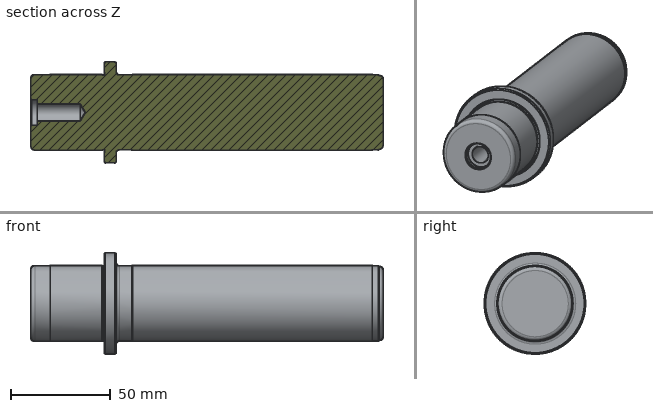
import cadquery as cq
import math

total_length = 177
shaft_radius = 19.1
nose_fillet = 2.0
nose_length = 9.7
nose_relief = 0.09

collar_radius = 25.5
collar_start = 36.8
collar_width = 6.2
collar_end = collar_start + collar_width
collar_edge_chamfer = 0.7

undercut_length = 1.0
undercut_depth = 0.4
undercut_ramp_length = 0.5
undercut_into_collar = 0.4
undercut_outer_radius = shaft_radius + 1.0

neck_end = 50.6
neck_step_length = 0.5
neck_radius = shaft_radius - 0.2
neck_fillet = 1.5

lead_in_length = 5.5
tail_length = 2.7
lead_in_radius = shaft_radius - 0.2
tail_fillet = 2.0
tail_radius = lead_in_radius - 0.4

counterbore_radius = 6.4
counterbore_depth = 3.2
counterbore_chamfer = 0.5
bore_radius = 4.2
bore_depth = 24.8
drill_tip_angle = 118


def revolve_about_x(profile):
    """Revolve a closed (x, radius) profile about the shaft axis."""
    return profile.close().revolve(360, (0, 0, 0), (1, 0, 0))


def arc_point(center_x, center_radius, arc_radius, degrees):
    angle = math.radians(degrees)
    return (center_x + arc_radius * math.cos(angle), center_radius + arc_radius * math.sin(angle))


def make_shaft():
    nose_radius = shaft_radius - nose_relief
    tail_start = total_length - tail_length
    nose_arc = arc_point(nose_fillet, nose_radius - nose_fillet, nose_fillet, 135)
    neck_arc = arc_point(collar_end + neck_fillet, neck_radius + neck_fillet, neck_fillet, 225)
    tail_arc = arc_point(total_length - tail_fillet, tail_radius - tail_fillet, tail_fillet, 45)
    profile = (
        cq.Workplane("XY")
        .moveTo(0, 0)
        .lineTo(0, nose_radius - nose_fillet)
        .threePointArc(nose_arc, (nose_fillet, nose_radius))
        .lineTo(nose_length, nose_radius)
        .lineTo(nose_length, shaft_radius)
        .lineTo(collar_start - undercut_length, shaft_radius)
        .lineTo(collar_start - undercut_length + undercut_ramp_length, shaft_radius - undercut_depth)
        .lineTo(collar_start + undercut_into_collar, shaft_radius - undercut_depth)
        .lineTo(collar_start + undercut_into_collar, undercut_outer_radius - undercut_into_collar)
        .lineTo(collar_start, undercut_outer_radius)
        .lineTo(collar_start, collar_radius - collar_edge_chamfer)
        .lineTo(collar_start + collar_edge_chamfer, collar_radius)
        .lineTo(collar_end - collar_edge_chamfer, collar_radius)
        .lineTo(collar_end, collar_radius - collar_edge_chamfer)
        .lineTo(collar_end, neck_radius + neck_fillet)
        .threePointArc(neck_arc, (collar_end + neck_fillet, neck_radius))
        .lineTo(neck_end, neck_radius)
        .lineTo(neck_end + neck_step_length, shaft_radius)
        .lineTo(total_length - lead_in_length, shaft_radius)
        .lineTo(total_length - lead_in_length, lead_in_radius)
        .lineTo(tail_start, lead_in_radius)
        .lineTo(total_length - tail_fillet, tail_radius)
        .threePointArc(tail_arc, (total_length, tail_radius - tail_fillet))
        .lineTo(total_length, 0)
    )
    return revolve_about_x(profile)


def make_centre_bore():
    tip_length = bore_radius / math.tan(math.radians(drill_tip_angle / 2))
    profile = (
        cq.Workplane("XY")
        .moveTo(0, 0)
        .lineTo(0, counterbore_radius + counterbore_chamfer)
        .lineTo(counterbore_chamfer, counterbore_radius)
        .lineTo(counterbore_depth, counterbore_radius)
        .lineTo(counterbore_depth, bore_radius)
        .lineTo(bore_depth, bore_radius)
        .lineTo(bore_depth + tip_length, 0)
    )
    return revolve_about_x(profile)


result = make_shaft().cut(make_centre_bore())